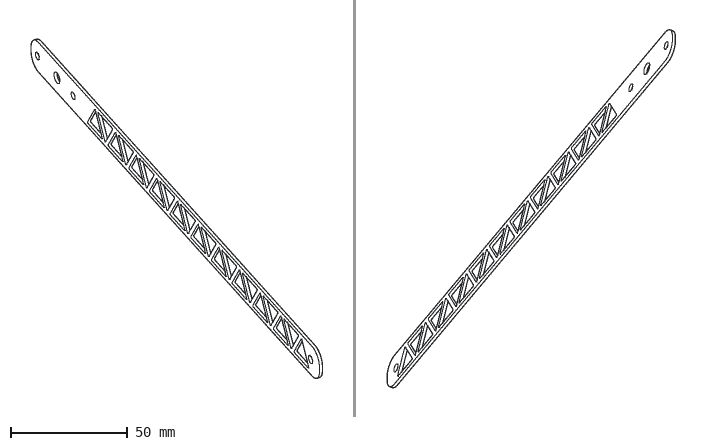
import cadquery as cq

length = 260.2
height = 16.0
thickness = 1.5
end_corner_radius = 6.8
left_end = -length / 2
right_end = length / 2

round_holes = [
    (left_end + 5.7, 3.5),
    (left_end + 23.5, 5.2),
    (left_end + 38.0, 3.5),
    (right_end - 8.0, 3.6),
]

rail_width = 2.0
upright_count = 11
row_start = left_end + 50.7
row_length = 200.0
window_side = 13.8
window_height = height - 2 * rail_width
window_corner_radius = 0.4
first_window_x = row_start + window_side / 2
upright_pitch = (row_length - window_side) / (upright_count - 1)


def plate():
    """Bar with generously rounded corners at both ends."""
    return (
        cq.Workplane("XZ")
        .rect(length, height)
        .extrude(thickness / 2, both=True)
        .edges("|Y")
        .fillet(end_corner_radius)
    )


def hole_cutter(x, diameter):
    """Cylinder through the thickness on the centre line."""
    return (
        cq.Workplane("XZ")
        .center(x, 0)
        .circle(diameter / 2)
        .extrude(thickness, both=True)
    )


def window_cutter(x, direction):
    """Triangular prism with rounded corners; direction is 1 for apex up, -1 for apex down."""
    apex_z = direction * window_height / 2
    corners = [
        (x - window_side / 2, -apex_z),
        (x + window_side / 2, -apex_z),
        (x, apex_z),
    ]
    return (
        cq.Workplane("XZ")
        .polyline(corners)
        .close()
        .extrude(thickness, both=True)
        .edges("|Y")
        .fillet(window_corner_radius)
    )


result = plate()

for hole_x, hole_diameter in round_holes:
    result = result.cut(hole_cutter(hole_x, hole_diameter))

for index in range(2 * upright_count - 1):
    window_x = first_window_x + index * upright_pitch / 2
    apex_direction = 1 if index % 2 == 0 else -1
    result = result.cut(window_cutter(window_x, apex_direction))